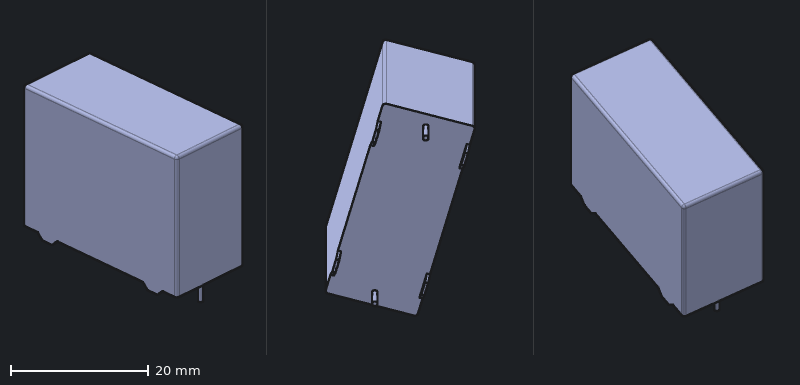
import cadquery as cq

case_length = 31.5
case_width = 14.0
case_height = 23.5
edge_radius = 0.5

lead_pitch = 27.5
lead_diameter = 0.8
lead_length = 4.0

foot_height = 1.0
foot_root_length = 4.0
foot_tip_length = 2.0
foot_thickness = edge_radius
foot_end_distance = 5.0
foot_center_x = case_length / 2 - foot_end_distance
foot_center_y = (case_width - foot_thickness) / 2


def make_case():
    """Case with rounded vertical and top edges and a sharp lower rim."""
    block = cq.Workplane("XY").box(case_length, case_width, case_height, centered=(True, True, False))
    return block.edges("|Z or >Z").fillet(edge_radius)


def make_lead(x):
    """Round wire hanging from the underside of the case."""
    return cq.Workplane("XY").center(x, 0).circle(lead_diameter / 2).extrude(-lead_length)


def make_foot(x, y):
    """Tapered stand-off centered at (x, y), narrowing downwards."""
    outline = [
        (x - foot_root_length / 2, 0),
        (x - foot_tip_length / 2, -foot_height),
        (x + foot_tip_length / 2, -foot_height),
        (x + foot_root_length / 2, 0),
    ]
    profile = cq.Workplane("XZ", origin=(0, y, 0)).polyline(outline).close()
    return profile.extrude(foot_thickness / 2, both=True)


result = make_case()
for side_x in (-1, 1):
    result = result.union(make_lead(side_x * lead_pitch / 2))
    for side_y in (-1, 1):
        result = result.union(make_foot(side_x * foot_center_x, side_y * foot_center_y))